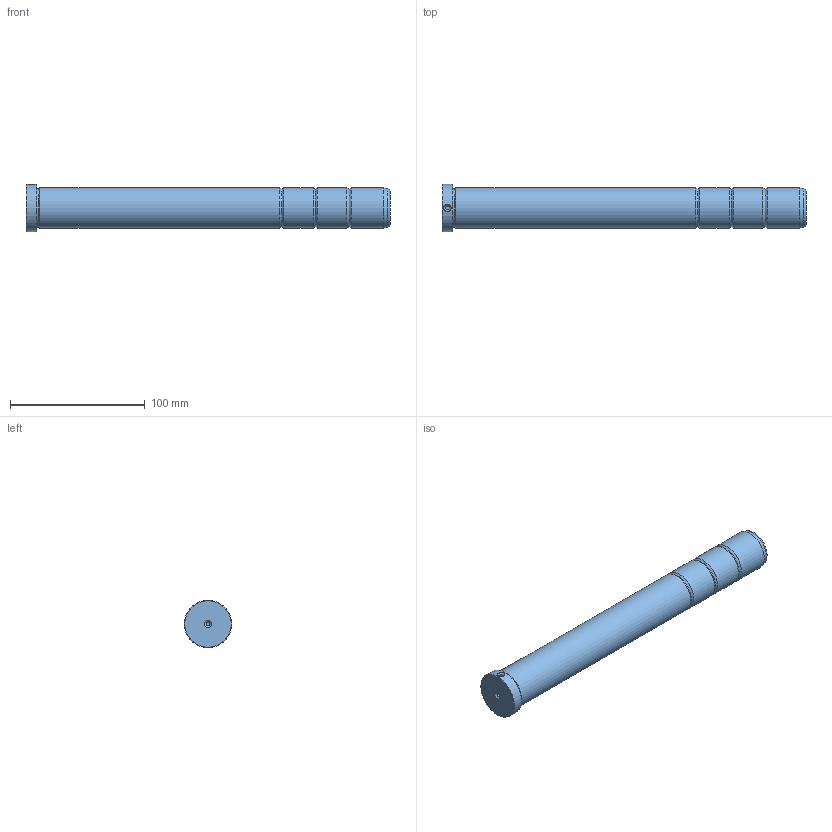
import cadquery as cq
import math

total_length = 270.0
head_diameter = 35.0
head_length = 8.0
head_chamfer = 0.3
shank_diameter = 30.0

relief_length = 2.3
relief_depth = 0.7
relief_ramp = 0.8

groove_count = 3
first_groove_center = 189.6
groove_pitch = 25.0
groove_width = 3.0
groove_depth = 1.0

taper_length = 3.0
taper_angle = 15.0
nose_radius = 2.0

hole_diameter = 2.8
countersink_diameter = 5.5
countersink_angle = 90.0
end_hole_depth = 10.0
side_hole_depth = 8.0

head_radius = head_diameter / 2
shank_radius = shank_diameter / 2


def make_body():
    """Revolve the head, relief groove, shank and lead-in about the X axis."""
    relief_radius = shank_radius - relief_depth
    relief_end = head_length + relief_length
    nose_start = total_length - nose_radius
    taper_start = nose_start - taper_length
    taper_end_radius = shank_radius - taper_length * math.tan(math.radians(taper_angle))
    nose_inset = nose_radius * math.sqrt(0.5)
    nose_middle = (nose_start + nose_inset, taper_end_radius - nose_radius + nose_inset)
    profile = (
        cq.Workplane("XZ")
        .lineTo(0, head_radius - head_chamfer)
        .lineTo(head_chamfer, head_radius)
        .lineTo(head_length, head_radius)
        .lineTo(head_length, relief_radius)
        .lineTo(relief_end - relief_ramp, relief_radius)
        .lineTo(relief_end, shank_radius)
        .lineTo(taper_start, shank_radius)
        .lineTo(nose_start, taper_end_radius)
        .threePointArc(nose_middle, (total_length, taper_end_radius - nose_radius))
        .lineTo(total_length, 0)
        .close()
    )
    return profile.revolve(360, (0, 0, 0), (1, 0, 0))


def make_groove(center):
    """Ring cutter with a V-shaped section centred at the given X."""
    half_width = groove_width / 2
    section = (
        cq.Workplane("XZ")
        .moveTo(center - half_width, shank_radius)
        .lineTo(center, shank_radius - groove_depth)
        .lineTo(center + half_width, shank_radius)
        .lineTo(center + half_width, head_radius)
        .lineTo(center - half_width, head_radius)
        .close()
    )
    return section.revolve(360, (0, 0, 0), (1, 0, 0))


def add_hole(body, plane, depth):
    """Drill a countersunk blind hole at the origin of the plane, against its normal."""
    return body.copyWorkplane(cq.Workplane(plane)).cskHole(
        hole_diameter, countersink_diameter, countersink_angle, depth
    )


result = make_body()
for index in range(groove_count):
    result = result.cut(make_groove(first_groove_center + index * groove_pitch))

head_face = cq.Plane(origin=(0, 0, 0), xDir=(0, 1, 0), normal=(-1, 0, 0))
head_top = cq.Plane(origin=(head_length / 2, 0, head_radius), xDir=(1, 0, 0), normal=(0, 0, 1))
result = add_hole(result, head_face, end_hole_depth)
result = add_hole(result, head_top, side_hole_depth)